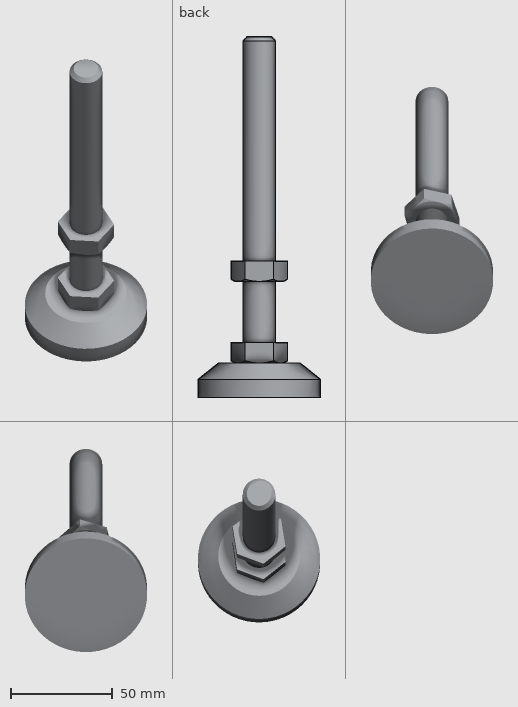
import cadquery as cq
import math

foot_diameter = 60.0
foot_top_diameter = 40.0
foot_rim_height = 9.0
foot_height = 17.0

hex_across_flats = 24.0
hex_height = 10.0
hex_chamfer_angle = 30.0

stud_diameter = 16.0
stud_length = 150.0
stud_end_chamfer = 2.0

nut_gap = 30.0

hex_across_corners = hex_across_flats / math.cos(math.radians(30))
collar_top = foot_height + hex_height
nut_bottom = collar_top + nut_gap


def make_hexagon(bottom):
    """Hexagonal block, corners on the X axis, with its bottom corners turned off at an angle."""
    flat_radius = hex_across_flats / 2
    corner_radius = hex_across_corners / 2
    chamfer_height = (corner_radius - flat_radius) * math.tan(math.radians(hex_chamfer_angle))
    block = cq.Workplane("XY").polygon(6, hex_across_corners).extrude(hex_height)
    turned_envelope = (
        cq.Workplane("XZ")
        .moveTo(0, 0)
        .lineTo(flat_radius, 0)
        .lineTo(corner_radius, chamfer_height)
        .lineTo(corner_radius, hex_height)
        .lineTo(0, hex_height)
        .close()
        .revolve(360, (0, 0, 0), (0, 1, 0))
    )
    return block.intersect(turned_envelope).translate((0, 0, bottom))


def make_foot():
    """Solid pad that carries the stud collar on its flat top."""
    return (
        cq.Workplane("XZ")
        .moveTo(0, 0)
        .lineTo(foot_diameter / 2, 0)
        .lineTo(foot_diameter / 2, foot_rim_height)
        .lineTo(foot_top_diameter / 2, foot_height)
        .lineTo(0, foot_height)
        .close()
        .revolve(360, (0, 0, 0), (0, 1, 0))
    )


def make_stud():
    """Rod with a chamfered upper end and a hexagonal collar at its lower end."""
    rod = (
        cq.Workplane("XY", origin=(0, 0, collar_top))
        .circle(stud_diameter / 2)
        .extrude(stud_length)
        .faces(">Z")
        .chamfer(stud_end_chamfer)
    )
    return rod.union(make_hexagon(foot_height))


def make_lock_nut():
    """Hexagonal nut whose bore fits the stud."""
    bore = (
        cq.Workplane("XY", origin=(0, 0, nut_bottom))
        .circle(stud_diameter / 2)
        .extrude(hex_height)
    )
    return make_hexagon(nut_bottom).cut(bore)


foot = make_foot()
stud = make_stud()
lock_nut = make_lock_nut()

result = cq.Compound.makeCompound([foot.val(), stud.val(), lock_nut.val()])